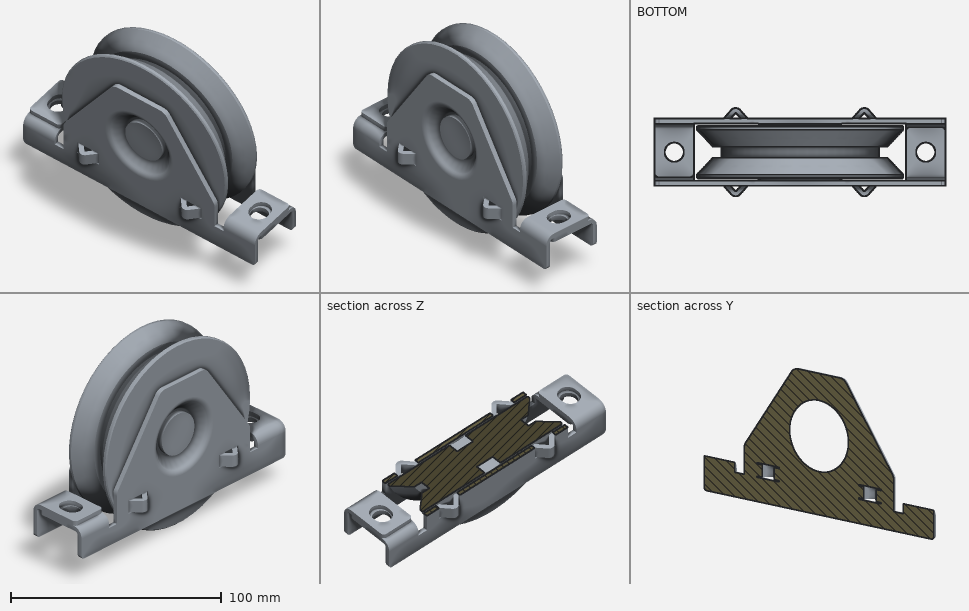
import cadquery as cq
import math


SHEET = 2.5
OUTER_Y = 16.0
INNER_Y = OUTER_Y - SHEET

LENGTH = 138.0
BOTTOM_Z = -39.0
PEAK_Z = 31.0
SHOULDER_Z = -12.4
HALF_SHOULDER = 45.0
HALF_PEAK = 15.0
OUTLINE_FILLET = 5.0
CORNER_FILLET = 2.0

TAB_LENGTH = 18.8
TAB_TOP_Z = -20.1
TAB_END_Y = 11.9
BEND_OUTER_RADIUS = 5.0
BEND_INNER_RADIUS = 1.5
NOTCH_DEPTH = 6.6
TAB_INNER_X = LENGTH / 2 - TAB_LENGTH
SCREW_HOLE_X = LENGTH / 2 - TAB_LENGTH / 2
SCREW_HOLE_DIAMETER = 9.0
SCREW_SLOT_X = 59.9
SCREW_SLOT_WIDTH = 10.0
SCREW_SLOT_LENGTH = 12.0

DISH_RADIUS = 20.1
DISH_FLOOR_RADIUS = 11.9
DISH_ANGLE = 45.0
DISH_TIGHT_RADIUS = 1.0
DISH_WIDE_RADIUS = DISH_TIGHT_RADIUS + SHEET

LOOP_X = 30.5
LOOP_Z = -23.3
LOOP_PEAK_Y = 21.0
LOOP_ANGLE = 48.0
LOOP_OUTER_RADIUS = 2.8
LOOP_HEIGHT = 6.2
LOOP_SLOT_WIDTH = 13.1
LOOP_SLOT_HEIGHT = 7.0

WHEEL_RADIUS = 98.0 / 2
WHEEL_HALF_WIDTH = 12.5
RIM_CHAMFER = 0.5
RIM_INNER_Y = 10.6
GROOVE_HALF_WIDTH = 2.6
GROOVE_EDGE_RADIUS = 41.4
GROOVE_FLOOR_RADIUS = 75.0 / 2
WHEEL_RECESS_RADIUS = 41.0 / 2
PIN_RADIUS = 22.0 / 2
PIN_HALF_LENGTH = 12.4

angle = math.radians(DISH_ANGLE)
bend_radii = DISH_WIDE_RADIUS + DISH_TIGHT_RADIUS
cone_run = DISH_RADIUS - DISH_FLOOR_RADIUS - bend_radii * math.sin(angle)
dish_depth = bend_radii * (1 - math.cos(angle)) + cone_run * math.tan(angle)
dish_floor_y = OUTER_Y - dish_depth
dish_back_y = dish_floor_y - SHEET


def sheet_outline(points):
    """Extrudes an X-Z outline through the thickness of the plate on the -Y side."""
    return cq.Workplane("XZ", origin=(0, -INNER_Y, 0)).polyline(points).close().extrude(SHEET)


def plate_wall():
    """Flat wall: a tapered upright on a long base strip, with a relief notch beside each tab."""
    end_x = LENGTH / 2
    upper_bend_z = TAB_TOP_Z - BEND_OUTER_RADIUS
    lower_bend_z = upper_bend_z - SHEET
    upper_notch_z = TAB_TOP_Z - NOTCH_DEPTH
    lower_notch_z = upper_notch_z - SHEET
    base = sheet_outline([
        (-end_x, BOTTOM_Z),
        (end_x, BOTTOM_Z),
        (end_x, upper_bend_z),
        (TAB_INNER_X, upper_bend_z),
        (TAB_INNER_X, upper_notch_z),
        (0, upper_notch_z),
        (0, lower_notch_z),
        (-TAB_INNER_X, lower_notch_z),
        (-TAB_INNER_X, lower_bend_z),
        (-end_x, lower_bend_z),
    ])
    base = base.edges("|Y and <Z").fillet(CORNER_FILLET)
    upright = sheet_outline([
        (-HALF_SHOULDER, BOTTOM_Z),
        (HALF_SHOULDER, BOTTOM_Z),
        (HALF_SHOULDER, SHOULDER_Z),
        (HALF_PEAK, PEAK_Z),
        (-HALF_PEAK, PEAK_Z),
        (-HALF_SHOULDER, SHOULDER_Z),
    ])
    upright = upright.edges("|Y and (not <Z)").fillet(OUTLINE_FILLET)
    return base.union(upright)


def folded_tab(start_x, top_z):
    """Tab bent from the -Y wall over to the +Y side, running along X from start_x."""
    bend_z = top_z - BEND_OUTER_RADIUS
    under_z = top_z - SHEET
    diagonal = math.sqrt(0.5)
    outer_centre_y = -OUTER_Y + BEND_OUTER_RADIUS
    inner_centre_y = -INNER_Y + BEND_INNER_RADIUS
    inner_centre_z = under_z - BEND_INNER_RADIUS
    outer_mid = (outer_centre_y - diagonal * BEND_OUTER_RADIUS, bend_z + diagonal * BEND_OUTER_RADIUS)
    inner_mid = (inner_centre_y - diagonal * BEND_INNER_RADIUS,
                 inner_centre_z + diagonal * BEND_INNER_RADIUS)
    foot_z = top_z - NOTCH_DEPTH
    tab = (
        cq.Workplane("YZ", origin=(start_x, 0, 0))
        .moveTo(-OUTER_Y, foot_z)
        .lineTo(-OUTER_Y, bend_z)
        .threePointArc(outer_mid, (outer_centre_y, top_z))
        .lineTo(TAB_END_Y, top_z)
        .lineTo(TAB_END_Y, under_z)
        .lineTo(inner_centre_y, under_z)
        .threePointArc(inner_mid, (-INNER_Y, inner_centre_z))
        .lineTo(-INNER_Y, foot_z)
        .close()
        .extrude(TAB_LENGTH)
    )
    return tab.edges("|Z and >Y").fillet(CORNER_FILLET)


def lower_tab():
    top_z = TAB_TOP_Z - SHEET
    hole = (
        cq.Workplane("XY", origin=(-SCREW_HOLE_X, 0, top_z))
        .circle(SCREW_HOLE_DIAMETER / 2)
        .extrude(-SHEET)
    )
    return folded_tab(-LENGTH / 2, top_z).cut(hole)


def upper_tab():
    slot = (
        cq.Workplane("XY", origin=(SCREW_SLOT_X, 0, TAB_TOP_Z))
        .slot2D(SCREW_SLOT_LENGTH, SCREW_SLOT_WIDTH, 90)
        .extrude(-SHEET)
    )
    return folded_tab(TAB_INNER_X, TAB_TOP_Z).cut(slot)


def on_bend(centre, radius, turn):
    """Point on a bend, where turn is the angle in radians from the direction of the pin axis."""
    return (centre[0] + radius * math.sin(turn), centre[1] + radius * math.cos(turn))


def dish():
    """Dish of constant thickness, pressed inwards and pierced for the pin."""
    rim_centre = (DISH_RADIUS, OUTER_Y - DISH_WIDE_RADIUS)
    floor_centre = (DISH_FLOOR_RADIUS, dish_floor_y + DISH_TIGHT_RADIUS)

    def at(point):
        return (point[0], -point[1])

    half = angle / 2
    profile = (
        cq.Workplane("XY")
        .moveTo(DISH_RADIUS, -OUTER_Y)
        .threePointArc(
            at(on_bend(rim_centre, DISH_WIDE_RADIUS, -half)),
            at(on_bend(rim_centre, DISH_WIDE_RADIUS, -angle)),
        )
        .lineTo(*at(on_bend(floor_centre, -DISH_TIGHT_RADIUS, -angle)))
        .threePointArc(
            at(on_bend(floor_centre, -DISH_TIGHT_RADIUS, -half)),
            (DISH_FLOOR_RADIUS, -dish_floor_y),
        )
        .lineTo(PIN_RADIUS, -dish_floor_y)
        .lineTo(PIN_RADIUS, -dish_back_y)
        .lineTo(DISH_FLOOR_RADIUS, -dish_back_y)
        .threePointArc(
            at(on_bend(floor_centre, -DISH_WIDE_RADIUS, -half)),
            at(on_bend(floor_centre, -DISH_WIDE_RADIUS, -angle)),
        )
        .lineTo(*at(on_bend(rim_centre, DISH_TIGHT_RADIUS, -angle)))
        .threePointArc(
            at(on_bend(rim_centre, DISH_TIGHT_RADIUS, -half)),
            (DISH_RADIUS, -INNER_Y),
        )
        .close()
    )
    return profile.revolve(360, (0, 0, 0), (0, 1, 0))


def loop_slot(x):
    """Rectangular window that a loop is pressed out of."""
    return cq.Workplane("XY").box(LOOP_SLOT_WIDTH, SHEET, LOOP_SLOT_HEIGHT).translate(
        (x, -(OUTER_Y + INNER_Y) / 2, LOOP_Z)
    )


def loop_solid(peak_y, radius):
    """V-shaped prism with a rounded ridge, standing on the inner face of the plate."""
    slope = math.radians(LOOP_ANGLE)
    ridge_half = radius * math.sin(slope)
    ridge_y = peak_y - radius * (1 - math.cos(slope))
    foot_half = ridge_half + (ridge_y - INNER_Y) / math.tan(slope)
    return (
        cq.Workplane("XY", origin=(0, 0, -LOOP_HEIGHT / 2))
        .moveTo(-foot_half, -INNER_Y)
        .lineTo(-ridge_half, -ridge_y)
        .threePointArc((0, -peak_y), (ridge_half, -ridge_y))
        .lineTo(foot_half, -INNER_Y)
        .close()
        .extrude(LOOP_HEIGHT)
    )


def loop(x):
    """Bent strip that joins the two ends of its window."""
    outside = loop_solid(LOOP_PEAK_Y, LOOP_OUTER_RADIUS)
    inside = loop_solid(LOOP_PEAK_Y - SHEET, LOOP_OUTER_RADIUS - SHEET)
    window = cq.Workplane("XY").box(LOOP_SLOT_WIDTH, 2 * LOOP_PEAK_Y, LOOP_HEIGHT)
    return outside.cut(inside).intersect(window).translate((x, 0, LOOP_Z))


def make_side_plate():
    """Plate on the -Y side, with its lower tab at -X and its upper tab at +X."""
    plate = plate_wall().union(lower_tab()).union(upper_tab())
    dish_opening = (
        cq.Workplane("XZ", origin=(0, -INNER_Y, 0)).circle(DISH_RADIUS).extrude(SHEET)
    )
    plate = plate.cut(dish_opening).union(dish())
    for x in (-LOOP_X, LOOP_X):
        plate = plate.cut(loop_slot(x)).union(loop(x))
    return plate


def make_wheel():
    """V-groove wheel, recessed on both faces and bored for the pin."""
    half_profile = [
        (GROOVE_FLOOR_RADIUS, GROOVE_HALF_WIDTH),
        (GROOVE_EDGE_RADIUS, GROOVE_HALF_WIDTH),
        (WHEEL_RADIUS, RIM_INNER_Y),
        (WHEEL_RADIUS, WHEEL_HALF_WIDTH - RIM_CHAMFER),
        (WHEEL_RADIUS - RIM_CHAMFER, WHEEL_HALF_WIDTH),
        (WHEEL_RECESS_RADIUS, WHEEL_HALF_WIDTH),
        (WHEEL_RECESS_RADIUS, dish_back_y),
        (PIN_RADIUS, dish_back_y),
    ]
    mirrored = [(radius, -y) for radius, y in reversed(half_profile)]
    return cq.Workplane("XY").polyline(half_profile + mirrored).close().revolve(
        360, (0, 0, 0), (0, 1, 0)
    )


def make_pin():
    return cq.Workplane("XZ").circle(PIN_RADIUS).extrude(PIN_HALF_LENGTH, both=True)


side_plates = []
for turn in (0, 180):
    side_plates.append(make_side_plate().rotate((0, 0, 0), (0, 0, 1), turn))
wheel = make_wheel()
pin = make_pin()

result = cq.Compound.makeCompound([*[plate.val() for plate in side_plates], wheel.val(), pin.val()])